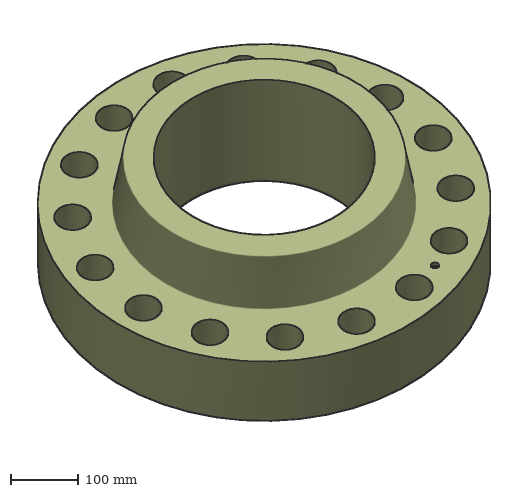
import cadquery as cq
import math

flange_diameter = 673.0
flange_thickness = 124.0
total_height = 219.0

hub_base_diameter = 451.0
hub_top_diameter = 419.0
hub_edge_radius = 1.7

bore_diameter = 328.5
bore_rounding = 13.0

bolt_count = 16
bolt_circle_diameter = 572.0
bolt_hole_diameter = 54.5

small_hole_diameter = 12.0
small_hole_depth = 7.0
small_step_diameter = 7.0
small_step_depth = 13.5


def flange_body():
    """Revolve the flange, its tapered hub and the bore about Z."""
    bore_radius = bore_diameter / 2
    profile = (
        cq.Workplane("XZ")
        .moveTo(bore_radius + bore_rounding, 0)
        .lineTo(flange_diameter / 2, 0)
        .lineTo(flange_diameter / 2, flange_thickness)
        .lineTo(hub_base_diameter / 2, flange_thickness)
        .lineTo(hub_top_diameter / 2, total_height)
        .lineTo(bore_radius, total_height)
        .lineTo(bore_radius, bore_rounding)
        .radiusArc((bore_radius + bore_rounding, 0), -bore_rounding)
        .close()
    )
    body = profile.revolve(360, (0, 0, 0), (0, 1, 0))
    hub_cone = body.faces("%CONE")
    return hub_cone.edges("%CIRCLE").fillet(hub_edge_radius)


def bolt_holes():
    """Through holes evenly spaced on the bolt circle, the first one on +X."""
    return (
        cq.Workplane("XY")
        .polarArray(bolt_circle_diameter / 2, 0, 360, bolt_count)
        .circle(bolt_hole_diameter / 2)
        .extrude(flange_thickness)
    )


def small_hole():
    """Stepped, flat-bottomed blind hole on the bolt circle, half a pitch above +X."""
    angle = math.radians(360 / bolt_count / 2)
    centre_radius = bolt_circle_diameter / 2
    centre = (centre_radius * math.cos(angle), centre_radius * math.sin(angle))
    flange_top = cq.Workplane("XY", origin=(0, 0, flange_thickness)).center(*centre)
    upper_bore = flange_top.circle(small_hole_diameter / 2).extrude(-small_hole_depth)
    lower_bore = flange_top.circle(small_step_diameter / 2).extrude(-small_step_depth)
    return upper_bore.union(lower_bore)


result = flange_body().cut(bolt_holes()).cut(small_hole())